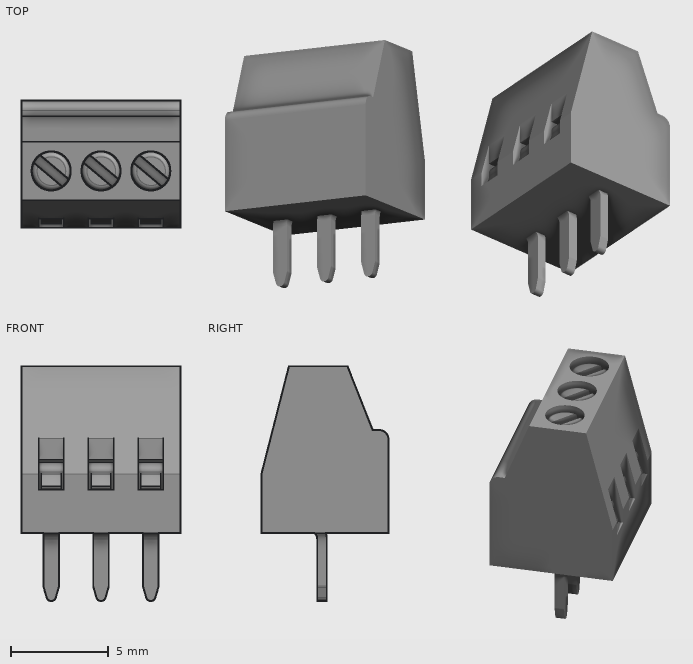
import cadquery as cq

pole_count = 3
pitch = 2.55
pole_positions = [(i - (pole_count - 1) / 2) * pitch for i in range(pole_count)]

overall_height = 12.0
housing_width = 8.12
housing_depth = 6.5
housing_height = 8.53
front_wall_height = 3.02
top_front = 1.4
top_depth = 3.0
shelf_front = 5.69
shelf_height = 5.28
shelf_radius = 0.5

opening_width = 1.3
opening_depth = 0.47
opening_floor = 2.22
pocket_ceiling = 3.75

strip_thickness = 0.5
strip_front = opening_depth
strip_top = 3.64
foot_bottom = 0.08
foot_bend_radius = 0.36
leg_center_y = 3.1
leg_width = 0.8
leg_length = overall_height - housing_height
taper_start = 2.72
taper_end = 3.26
taper_blend = 0.04
tip_width = 0.49

foot_top = foot_bottom + strip_thickness
leg_front = leg_center_y - strip_thickness / 2
leg_back = leg_center_y + strip_thickness / 2
bend_y = leg_front - foot_bend_radius
bend_z = foot_bottom - foot_bend_radius

tongue_width = 1.01
tongue_top = 3.05
tongue_bend_height = 0.04
tongue_bend_offset = 0.006
tongue_reach = 0.25
tongue_knee = 2.4

screw_y = top_front + top_depth / 2
screw_hole_radius = 1.01
screw_radius = 0.98
screw_edge_radius = 0.25
screw_length = 2.0
screw_recess = 0.3
slot_width = 0.5
slot_depth = 0.5
slot_angle = -40


def extrude_across(profile, width, x):
    """Extrude a YZ profile to the given width, centred on x."""
    return profile.extrude(width / 2, both=True).translate((x, 0, 0))


def make_upright(x):
    """Contact strip from its forward foot up to the rounded top edge."""
    profile = (
        cq.Workplane("YZ")
        .moveTo(strip_front, foot_bottom)
        .lineTo(bend_y, foot_bottom)
        .lineTo(bend_y, foot_top)
        .lineTo(strip_front + strip_thickness, foot_top)
        .lineTo(strip_front + strip_thickness, strip_top)
        .radiusArc((strip_front, strip_top - strip_thickness), -strip_thickness)
        .close()
    )
    return extrude_across(profile, opening_width, x)


def make_leg(x):
    """Soldering leg that curves forward into the foot and tapers to a round tip."""
    profile = (
        cq.Workplane("YZ")
        .moveTo(bend_y, foot_bottom)
        .radiusArc((leg_front, bend_z), foot_bend_radius)
        .lineTo(leg_front, -leg_length)
        .lineTo(leg_back, -leg_length)
        .lineTo(leg_back, bend_z)
        .radiusArc((bend_y, foot_top), -(foot_bend_radius + strip_thickness))
        .close()
    )

    half_leg = leg_width / 2
    half_tip = tip_width / 2
    blend_start = taper_start - taper_blend
    blend_end = taper_start + taper_blend
    blend_inset = taper_blend * (half_leg - half_tip) / (taper_end - taper_start)
    outline = (
        cq.Workplane("XZ")
        .moveTo(x - half_leg, foot_top)
        .lineTo(x - half_leg, -blend_start)
        .tangentArcPoint((x - half_leg + blend_inset, -blend_end), relative=False)
        .lineTo(x - half_tip, -taper_end)
        .threePointArc((x, -leg_length), (x + half_tip, -taper_end))
        .lineTo(x + half_leg - blend_inset, -blend_end)
        .tangentArcPoint((x + half_leg, -blend_start), relative=False)
        .lineTo(x + half_leg, foot_top)
        .close()
        .extrude(-housing_depth)
    )
    return extrude_across(profile, leg_width, x).intersect(outline)


def make_tongue(x):
    """Tongue that slopes forward to a rounded knee resting on the opening floor."""
    bend_radius = (tongue_bend_height**2 + tongue_bend_offset**2) / (2 * tongue_bend_offset)
    knee_height = tongue_knee - opening_floor
    profile = (
        cq.Workplane("YZ")
        .moveTo(strip_front, tongue_top)
        .radiusArc((strip_front - tongue_bend_offset, tongue_top - tongue_bend_height), bend_radius)
        .lineTo(strip_front - tongue_reach, tongue_knee)
        .radiusArc((strip_front - tongue_reach + knee_height, opening_floor), -knee_height)
        .lineTo(strip_front, opening_floor)
        .close()
    )
    return extrude_across(profile, tongue_width, x)


def make_contact(x):
    """Upright strip, soldering leg and wire-guard tongue in one piece."""
    return make_upright(x).union(make_leg(x)).union(make_tongue(x))


def make_screw(x):
    """Cylindrical screw with a rounded rim and a driver slot."""
    screw_top = housing_height - screw_recess
    body = (
        cq.Workplane("XY", origin=(x, screw_y, screw_top - screw_length))
        .circle(screw_radius)
        .extrude(screw_length)
        .faces(">Z")
        .edges()
        .fillet(screw_edge_radius)
    )
    slot = (
        cq.Workplane("XY", origin=(x, screw_y, screw_top - slot_depth))
        .transformed(rotate=(0, 0, slot_angle))
        .rect(2 * screw_hole_radius, slot_width)
        .extrude(slot_depth)
    )
    return body.cut(slot)


def make_opening(x):
    """Wire opening in the front wall, with the pocket above the contact strip."""
    profile = (
        cq.Workplane("YZ")
        .moveTo(0, opening_floor)
        .lineTo(0, housing_height)
        .lineTo(opening_depth, housing_height)
        .lineTo(opening_depth, pocket_ceiling)
        .lineTo(strip_front + strip_thickness, pocket_ceiling)
        .lineTo(strip_front + strip_thickness, opening_floor)
        .close()
    )
    return extrude_across(profile, opening_width, x)


def make_housing(contacts):
    """Block with screw holes, wire openings and recesses that match the contacts."""
    outline = (
        cq.Workplane("YZ")
        .lineTo(0, front_wall_height)
        .lineTo(top_front, housing_height)
        .lineTo(top_front + top_depth, housing_height)
        .lineTo(shelf_front, shelf_height)
        .lineTo(housing_depth - shelf_radius, shelf_height)
        .radiusArc((housing_depth, shelf_height - shelf_radius), shelf_radius)
        .lineTo(housing_depth, 0)
        .close()
    )
    body = extrude_across(outline, housing_width, 0)

    hole_depth = screw_recess + screw_length
    for x, contact in zip(pole_positions, contacts):
        screw_hole = (
            cq.Workplane("XY", origin=(x, screw_y, housing_height - hole_depth))
            .circle(screw_hole_radius)
            .extrude(hole_depth)
        )
        body = body.cut(screw_hole).cut(make_opening(x)).cut(contact)
    return body


contacts = [make_contact(x) for x in pole_positions]
screws = [make_screw(x) for x in pole_positions]
housing = make_housing(contacts)

result = cq.Compound.makeCompound(
    [housing.val()] + [contact.val() for contact in contacts] + [screw.val() for screw in screws]
)